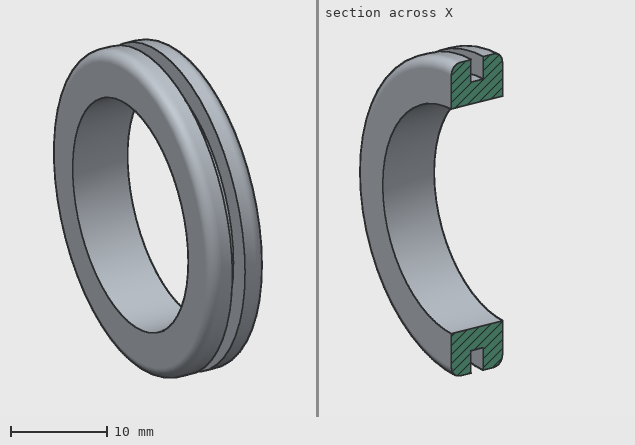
import cadquery as cq

outer_diameter = 35.0
bore_diameter = 25.0
groove_diameter = 30.0
width = 6.5
groove_width = 1.5
rim_fillet = 1.2


def ring(outer, inner, length):
    """Plain ring around the Y axis, centred on the XZ plane."""
    return (
        cq.Workplane("XZ", origin=(0, length / 2, 0))
        .circle(outer / 2)
        .circle(inner / 2)
        .extrude(length)
    )


def round_outer_rims(body):
    """Round the outer circular edge of both end faces."""
    outer_rims = cq.selectors.RadiusNthSelector(-1)
    return body.edges(outer_rims).fillet(rim_fillet)


def cut_groove(body):
    """Cut the square groove around the middle of the outer wall."""
    return body.cut(ring(outer_diameter, groove_diameter, groove_width))


result = cut_groove(round_outer_rims(ring(outer_diameter, bore_diameter, width)))